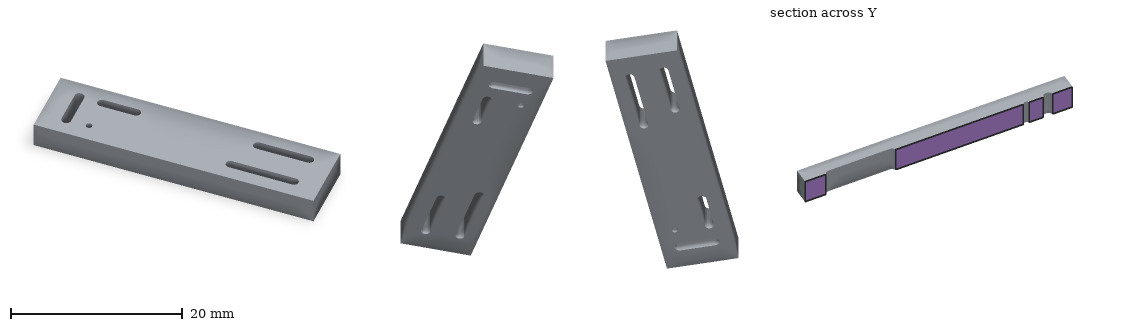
import cadquery as cq
import math

length = 35.0
width = 8.5
thickness = 3.3

slot_width = 1.1
upper_row_y = 6.3
lower_row_y = 2.2
near_slot_length = 5.42
near_slot_x = 8.2
far_upper_slot_length = 7.55
far_upper_slot_x = 28.77
far_lower_slot_length = 9.1
far_lower_slot_x = 27.72

cross_slot_length = 5.35
cross_slot_width = 1.2
cross_slot_x = 3.22

facets_per_end = 8

hole_diameter = 0.77
hole_x = 6.05


def slot_cutter(x, y, slot_length, slot_breadth, direction=0):
    """Through-slot solid centred at (x, y), its long axis turned by direction degrees from X."""
    radius = slot_breadth / 2
    end_offset = slot_length / 2 - radius
    points = []
    for side, start_angle in ((1, -90), (-1, 90)):
        for step in range(facets_per_end + 1):
            angle = math.radians(start_angle + 180 * step / facets_per_end)
            points.append((side * end_offset + radius * math.cos(angle), radius * math.sin(angle)))
    return (
        cq.Workplane("XY")
        .polyline(points)
        .close()
        .extrude(thickness)
        .rotate((0, 0, 0), (0, 0, 1), direction)
        .translate((x, y, 0))
    )


plate = cq.Workplane("XY").box(length, width, thickness, centered=False)

lengthwise_slots = [
    (near_slot_x, upper_row_y, near_slot_length),
    (far_upper_slot_x, upper_row_y, far_upper_slot_length),
    (far_lower_slot_x, lower_row_y, far_lower_slot_length),
]
for slot_x, slot_y, slot_length in lengthwise_slots:
    plate = plate.cut(slot_cutter(slot_x, slot_y, slot_length, slot_width))

plate = plate.cut(
    slot_cutter(cross_slot_x, width / 2, cross_slot_length, cross_slot_width, direction=90)
)

plate = (
    plate.faces(">Z")
    .workplane(origin=(hole_x, lower_row_y, thickness))
    .hole(hole_diameter)
)

result = plate